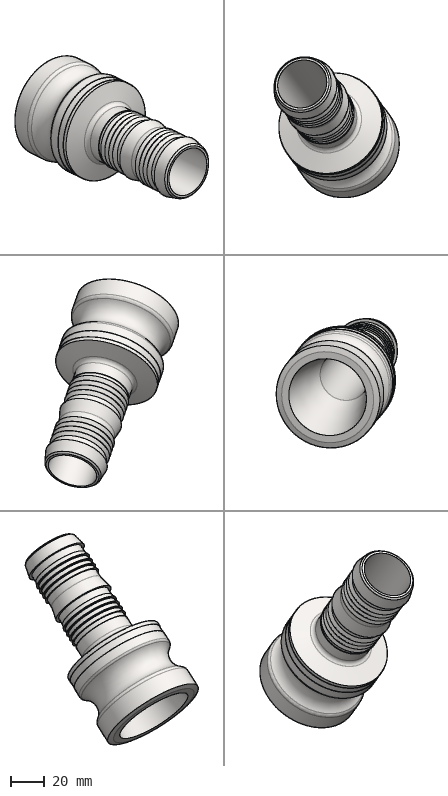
import cadquery as cq
import math

length = 121.0
head_radius = 63.0 / 2
bore_radius = 30.0 / 2

lead_in_length = 1.0
lead_in_radius = 28.0
mouth_radius = 23.6
entry_taper_length = 50.3

groove_x = 23.5
groove_floor_radius = 26.0
groove_arc_radius = 10.9
mouth_side_rim_fillet = 2.9
shank_side_rim_fillet = 1.8

band_start = 39.8
band_end = 44.5
band_radius = 62.5 / 2

shoulder_start = 47.1
shoulder_angle = 16.0
shoulder_fillet = 3.0

neck_radius = 35.3 / 2
neck_end = 60.6
shank_radius = 34.5 / 2
tip_chamfer_length = 1.1
tip_chamfer_depth = 0.8

barb_set_start = 63.5
barb_set_pitch = 31.0
barb_set_count = 2
tooth_count = 4
tooth_pitch = 3.5
tooth_length = 2.9
tooth_radius = 18.4
large_barb_offset = 17.9
large_barb_length = 8.3
large_barb_radius = 19.1

shoulder_drop = head_radius - neck_radius
shoulder_end = shoulder_start + shoulder_drop * math.tan(math.radians(shoulder_angle))
groove_center_radius = groove_floor_radius + groove_arc_radius
groove_half_width = math.sqrt(groove_arc_radius**2 - (groove_center_radius - head_radius) ** 2)
tip_start = length - tip_chamfer_length


def revolve_about_x(profile):
    return profile.close().revolve(360, (0, 0, 0), (1, 0, 0))


def rim_at(x, radius):
    """Selector for the circular edge of the given radius at position x."""
    tolerance = 0.06
    reach = radius + tolerance
    return cq.selectors.BoxSelector(
        (x - tolerance, -reach, -reach), (x + tolerance, reach, reach), boundingbox=True
    )


def barb_points(start, barb_length, crest_radius):
    """A square step up to the crest, then a taper back down to the shank."""
    return [
        (start, shank_radius),
        (start, crest_radius),
        (start + barb_length, shank_radius),
    ]


def barb_set_points(start):
    points = []
    for tooth in range(tooth_count):
        points += barb_points(start + tooth * tooth_pitch, tooth_length, tooth_radius)
    return points + barb_points(start + large_barb_offset, large_barb_length, large_barb_radius)


def shank_points():
    points = [(neck_end, neck_radius), (neck_end, shank_radius)]
    for barb_set in range(barb_set_count):
        points += barb_set_points(barb_set_start + barb_set * barb_set_pitch)
    last_crest_x, last_crest_radius = points[-2]
    taper = (last_crest_radius - shank_radius) / large_barb_length
    points[-1] = (tip_start, last_crest_radius - taper * (tip_start - last_crest_x))
    return points + [(length, shank_radius - tip_chamfer_depth), (length, 0)]


def solid_body():
    profile = (
        cq.Workplane("XY")
        .lineTo(0, lead_in_radius)
        .lineTo(lead_in_length, head_radius)
        .lineTo(groove_x - groove_half_width, head_radius)
        .threePointArc((groove_x, groove_floor_radius), (groove_x + groove_half_width, head_radius))
        .lineTo(band_start, head_radius)
        .lineTo(band_start, band_radius)
        .lineTo(band_end, band_radius)
        .lineTo(band_end, head_radius)
        .lineTo(shoulder_start, head_radius)
        .lineTo(shoulder_end, neck_radius)
    )
    for x, radius in shank_points():
        profile = profile.lineTo(x, radius)
    return revolve_about_x(profile)


def bore():
    return revolve_about_x(
        cq.Workplane("XY")
        .lineTo(0, mouth_radius)
        .lineTo(entry_taper_length, bore_radius)
        .lineTo(length, bore_radius)
        .lineTo(length, 0)
    )


body = solid_body()
body = body.edges(rim_at(groove_x - groove_half_width, head_radius)).fillet(mouth_side_rim_fillet)
body = body.edges(rim_at(groove_x + groove_half_width, head_radius)).fillet(shank_side_rim_fillet)
body = body.edges(rim_at(shoulder_end, neck_radius)).fillet(shoulder_fillet)

result = body.cut(bore())